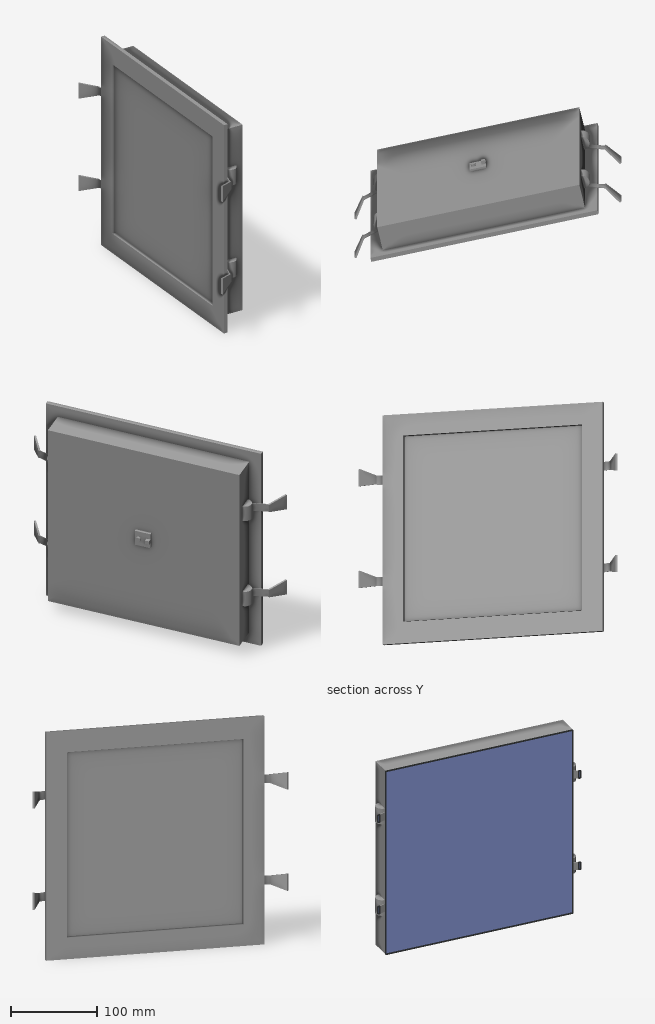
import cadquery as cq
import math


frame_side = 270.0
frame_thickness = 5.0
opening_side = 219.2

housing_side = 240.0
housing_back = 35.0

lens_gap = 1.0
lens_side = opening_side - 2 * lens_gap
lens_setback = 3.2

pad_side = 19.5
pad_back = housing_back + 3.2
post_side = 5.0
post_back = 42.5
stud_x = 5.0
stud_radius = 3.0
stud_back = 41.0

overall_width = 316.8
clip_spacing = 119.7
clip_width = 20.3
wall_x = housing_side / 2

barrel_radius = 8.0
barrel_y = 17.5

neck_width = 10.0
neck_thickness = 1.0
neck_slope = math.radians(17)
neck_root_y = 9.8

paddle_thickness = 2.2
paddle_length = 24.7
paddle_slope = math.radians(55.5)
paddle_tip_y = -17.5


def slab(size_x, size_z, y_front, y_back, x_centre=0):
    """Box centred on z = 0 that spans the given range along Y."""
    return (
        cq.Workplane("XZ", origin=(x_centre, y_front, 0))
        .rect(size_x, size_z)
        .extrude(y_front - y_back)
    )


def frame_bar():
    """Top bar of the frame, with both ends cut at the mitre."""
    outer = frame_side / 2
    inner = opening_side / 2
    return (
        cq.Workplane("XZ")
        .polyline([(-outer, outer), (outer, outer), (inner, inner), (-inner, inner)])
        .close()
        .extrude(-frame_thickness)
    )


def make_frame():
    """Four bars joined into one ring; the mitre seams stay as edges on its faces."""
    frame = frame_bar()
    for quarter_turn in range(1, 4):
        bar = frame_bar().rotate((0, 0, 0), (0, 1, 0), 90 * quarter_turn)
        frame = frame.union(bar, clean=False)
    return frame


def make_connector():
    post_x = (post_side - pad_side) / 2
    pad = slab(pad_side, pad_side, housing_back, pad_back)
    post = slab(post_side, post_side, pad_back, post_back, post_x)
    stud = (
        cq.Workplane("XZ", origin=(stud_x, pad_back, 0))
        .circle(stud_radius)
        .extrude(pad_back - stud_back)
    )
    return pad.union(post).union(stud)


def make_luminaire():
    housing = slab(housing_side, housing_side, frame_thickness, housing_back)
    lens = slab(lens_side, lens_side, lens_setback, frame_thickness)
    back = housing.union(lens).union(make_connector())
    return make_frame().union(back, clean=False)


def make_barrel():
    return (
        cq.Workplane("XY", origin=(wall_x, barrel_y, -clip_width / 2))
        .moveTo(0, -barrel_radius)
        .threePointArc((barrel_radius, 0), (0, barrel_radius))
        .close()
        .extrude(clip_width)
    )


def make_paddle(root_x, root_y):
    """Trapezoid plate that starts at the middle of its narrow end and slopes forward."""
    along = cq.Vector(math.cos(paddle_slope), -math.sin(paddle_slope), 0)
    across = cq.Vector(math.sin(paddle_slope), math.cos(paddle_slope), 0)
    plane = cq.Plane(origin=(root_x, root_y, 0), xDir=along, normal=across)
    return (
        cq.Workplane(plane)
        .polyline([
            (0, -neck_width / 2),
            (paddle_length, -clip_width / 2),
            (paddle_length, clip_width / 2),
            (0, neck_width / 2),
        ])
        .close()
        .extrude(paddle_thickness / 2, both=True)
    )


def make_neck(end_x):
    """Sloping strip from the side wall to end_x, inside the root of the paddle."""
    half_height = neck_thickness / math.cos(neck_slope) / 2
    end_y = neck_root_y - (end_x - wall_x) * math.tan(neck_slope)
    return (
        cq.Workplane("XY")
        .polyline([
            (wall_x, neck_root_y - half_height),
            (end_x, end_y - half_height),
            (end_x, end_y + half_height),
            (wall_x, neck_root_y + half_height),
        ])
        .close()
        .extrude(neck_width / 2, both=True)
    )


def make_clip():
    """Clip on the +X side wall, centred on z = 0, trimmed clear of the frame."""
    half_thickness = paddle_thickness / 2
    tip_x = overall_width / 2 - half_thickness * math.sin(paddle_slope)
    tip_y = paddle_tip_y + half_thickness * math.cos(paddle_slope)
    root_x = tip_x - paddle_length * math.cos(paddle_slope)
    root_y = tip_y + paddle_length * math.sin(paddle_slope)
    clip = make_barrel().union(make_neck(root_x)).union(make_paddle(root_x, root_y))
    return clip.cut(slab(frame_side, frame_side, 0, frame_thickness))


luminaire = make_luminaire()

clips = []
for clip_z in (-clip_spacing / 2, clip_spacing / 2):
    right_clip = make_clip().translate((0, 0, clip_z))
    clips.append(right_clip)
    clips.append(right_clip.mirror("YZ"))

result = cq.Compound.makeCompound([luminaire.val(), *[clip.val() for clip in clips]])